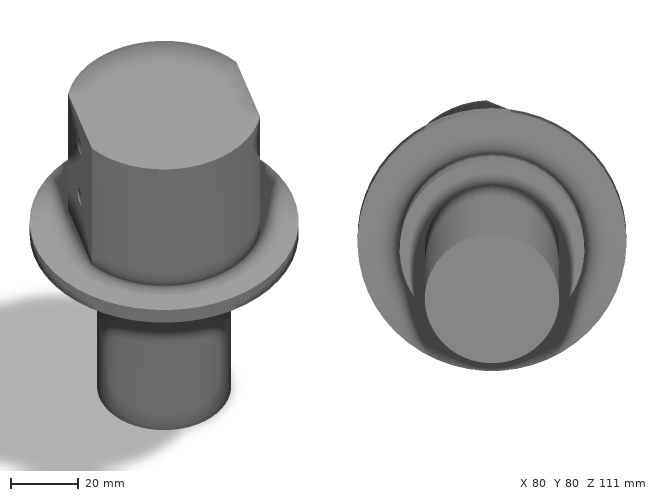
import cadquery as cq

total_height = 111.0
shaft_diameter = 40.0
shaft_length = 52.1
collar_diameter = 55.0
collar_height = 8.0
flange_diameter = 80.0
flange_thickness = 5.0
head_diameter = 58.0
head_across_flats = 52.1
hole_diameter = 5.0
hole_spacing = 20.0
top_hole_depth_below_top = 10.0

collar_base = shaft_length
flange_base = collar_base + collar_height
head_base = flange_base + flange_thickness
head_height = total_height - head_base


def cylinder(diameter, base, height):
    """Upright cylinder on the Z axis."""
    return cq.Workplane("XY").workplane(offset=base).circle(diameter / 2).extrude(height)


def flatted_head():
    """Round head with two parallel flats facing -Y and +Y."""
    between_flats = (
        cq.Workplane("XY")
        .workplane(offset=head_base)
        .rect(head_diameter, head_across_flats)
        .extrude(head_height)
    )
    return cylinder(head_diameter, head_base, head_height).intersect(between_flats)


def cross_hole(level):
    """Hole through the head along Y, from flat to flat."""
    return (
        cq.Workplane("XZ")
        .center(0, level)
        .circle(hole_diameter / 2)
        .extrude(head_across_flats / 2, both=True)
    )


result = (
    cylinder(shaft_diameter, 0, shaft_length)
    .union(cylinder(collar_diameter, collar_base, collar_height))
    .union(cylinder(flange_diameter, flange_base, flange_thickness))
    .union(flatted_head())
)

top_hole_level = total_height - top_hole_depth_below_top
for hole_level in (top_hole_level, top_hole_level - hole_spacing):
    result = result.cut(cross_hole(hole_level))